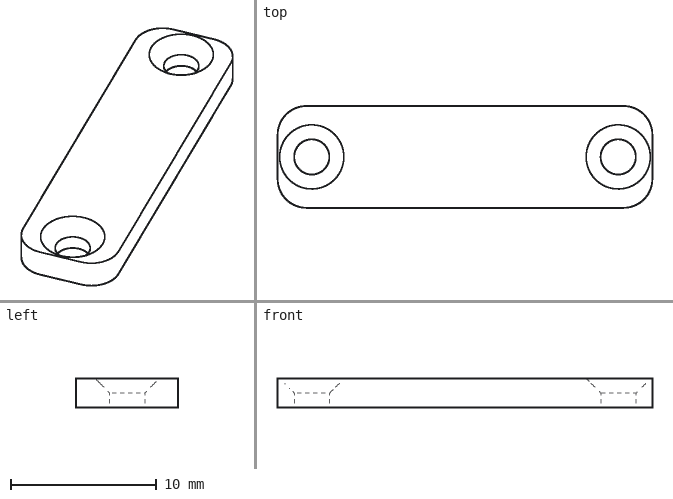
import cadquery as cq

LENGTH = 25.7
WIDTH = 7.0
THICKNESS = 2.0
CORNER_RADIUS = 2.0
HOLE_SPACING = 21.0
HOLE_DIAMETER = 2.4
COUNTERSINK_DIAMETER = 4.4
COUNTERSINK_ANGLE = 90.0


def rounded_plate():
    """Flat bar standing on Z = 0 with its vertical corners rounded."""
    plate = cq.Workplane("XY").box(LENGTH, WIDTH, THICKNESS, centered=(True, True, False))
    return plate.edges("|Z").fillet(CORNER_RADIUS)


def cut_screw_holes(plate):
    """Cut the two through holes, countersunk from the top face."""
    hole_centres = [(-HOLE_SPACING / 2, 0), (HOLE_SPACING / 2, 0)]
    top_face = plate.faces(">Z").workplane().pushPoints(hole_centres)
    return top_face.cskHole(HOLE_DIAMETER, COUNTERSINK_DIAMETER, COUNTERSINK_ANGLE)


result = cut_screw_holes(rounded_plate())